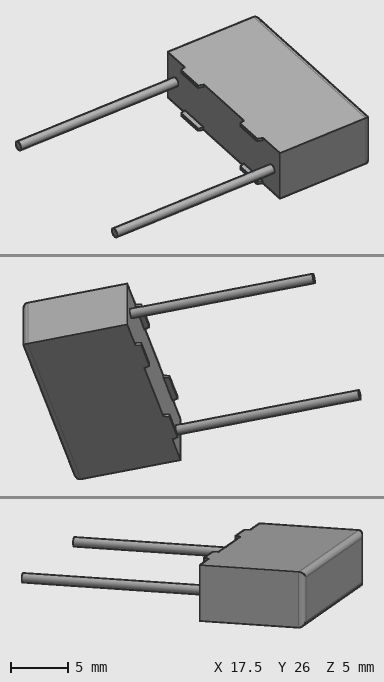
import cadquery as cq


total_length = 26.0
housing_width = 17.5
housing_height = 5.0

housing_depth = 9.52
back_edge_radius = 0.52

tab_pitch = 9.2
tab_root_width = 3.0
tab_tip_width = 2.65
tab_length = 0.5
tab_thickness = 0.29

lead_pitch = 15.0
lead_diameter = 0.85
lead_length = total_length - housing_depth


def make_tab(center_x, bottom_z):
    """Trapezoidal plate on the front face, narrowing toward its tip."""
    outline = [
        (center_x - tab_root_width / 2, 0),
        (center_x - tab_tip_width / 2, -tab_length),
        (center_x + tab_tip_width / 2, -tab_length),
        (center_x + tab_root_width / 2, 0),
    ]
    return cq.Workplane("XY").workplane(offset=bottom_z).polyline(outline).close().extrude(tab_thickness)


def make_housing():
    """Box with rounded back edges and four stand-off tabs flush with its top and bottom."""
    body = cq.Workplane("XY").box(
        housing_width, housing_depth, housing_height, centered=(True, False, True)
    )
    body = body.faces(">Y").edges().fillet(back_edge_radius)
    lower_tab_z = -housing_height / 2
    upper_tab_z = housing_height / 2 - tab_thickness
    for center_x in (-tab_pitch / 2, tab_pitch / 2):
        for bottom_z in (lower_tab_z, upper_tab_z):
            body = body.union(make_tab(center_x, bottom_z))
    return body


def make_lead(center_x):
    """Round wire butting against the front face and running toward -Y."""
    return cq.Workplane("XZ").center(center_x, 0).circle(lead_diameter / 2).extrude(lead_length)


housing = make_housing()
leads = [make_lead(center_x) for center_x in (-lead_pitch / 2, lead_pitch / 2)]

result = cq.Compound.makeCompound([housing.val(), *[lead.val() for lead in leads]])